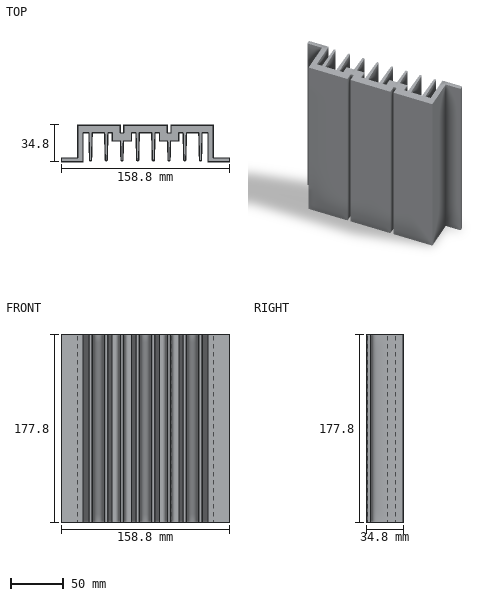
import cadquery as cq

width = 158.8
depth = 34.8
length = 177.8

flange_reach = 15.3
flange_thickness = 4.0
wall_thickness = 5.2
base_thickness = 7.5

fin_count = 8
fin_span = 103.8
fin_pitch = fin_span / (fin_count - 1)
fin_root_width = 3.4
fin_tip_width = 2.1
fin_tip_gap = 1.0

slot_width = 3.2
slot_depth = 7.5
block_width = 18.5
block_depth = 15.1
slot_offset = 1.5 * fin_pitch

front_y = -depth / 2
back_y = depth / 2
base_front_y = back_y - base_thickness
channel_width = width - 2 * flange_reach
cavity_width = channel_width - 2 * wall_thickness


def bar(x_center, y_low, y_high, x_size):
    """Full-length rectangular bar spanning the given Y range."""
    return (
        cq.Workplane("XY")
        .center(x_center, (y_low + y_high) / 2)
        .rect(x_size, y_high - y_low)
        .extrude(length / 2, both=True)
    )


def fin(x_center):
    """Tapered fin with a rounded tip, overlapping into the base."""
    root_half = fin_root_width / 2
    tip_half = fin_tip_width / 2
    tip_y = front_y + fin_tip_gap
    shoulder_y = tip_y + tip_half
    return (
        cq.Workplane("XY")
        .moveTo(x_center - root_half, base_front_y)
        .lineTo(x_center - tip_half, shoulder_y)
        .threePointArc((x_center, tip_y), (x_center + tip_half, shoulder_y))
        .lineTo(x_center + root_half, base_front_y)
        .lineTo(x_center + root_half, base_front_y + base_thickness / 2)
        .lineTo(x_center - root_half, base_front_y + base_thickness / 2)
        .close()
        .extrude(length / 2, both=True)
    )


result = bar(0, front_y, back_y, channel_width)
result = result.union(bar(0, front_y, front_y + flange_thickness, width))
result = result.cut(bar(0, front_y, base_front_y, cavity_width))

for index in range(fin_count):
    result = result.union(fin((index - (fin_count - 1) / 2) * fin_pitch))

for x_center in (-slot_offset, slot_offset):
    result = result.union(bar(x_center, back_y - block_depth, back_y, block_width))
    result = result.cut(bar(x_center, back_y - slot_depth, back_y, slot_width))